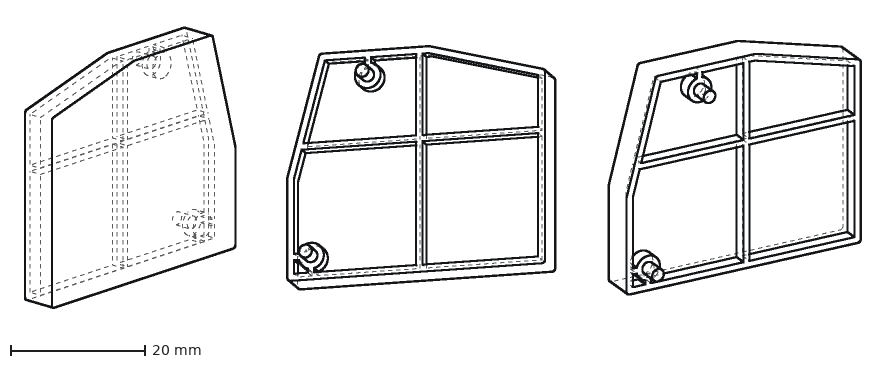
import cadquery as cq
import math

width = 40.0
height = 34.6
total_depth = 8.5
pin_projection = 3.0
body_depth = total_depth - pin_projection

slant = math.tan(math.radians(15))
steep_edge_start_z = 15.9
shallow_edge_start_y = 17.95
steep_edge_top_y = width - (height - steep_edge_start_z) * slant
shallow_edge_end_z = height - shallow_edge_start_y * slant
corner_radius = 0.5

wall = 1.1
recess_depth = 2.15
rib_thickness = 0.95
upright_rib_y = 19.5
level_rib_z = 20.5

boss_diameter = 4.0
pin_diameter = 2.0
upper_pin = (27.5, 30.8)
lower_pin = (36.3, 3.65)
pins = [upper_pin, lower_pin]


def outline():
    """Sharp-cornered outline of the body; local x is Y and local y is Z."""
    return cq.Workplane("YZ").polyline([
        (0, 0),
        (width, 0),
        (width, steep_edge_start_z),
        (steep_edge_top_y, height),
        (shallow_edge_start_y, height),
        (0, shallow_edge_end_z),
    ]).close()


def recess_bar(y_min, y_max, z_min, z_max):
    """Bar as deep as the recess, flush with the rim."""
    return cq.Workplane("XY").box(
        recess_depth, y_max - y_min, z_max - z_min, centered=False
    ).translate((0, y_min, z_min))


def upright_bar(y, z_min, z_max):
    return recess_bar(y - rib_thickness / 2, y + rib_thickness / 2, z_min, z_max)


def level_bar(z, y_min, y_max):
    return recess_bar(y_min, y_max, z - rib_thickness / 2, z + rib_thickness / 2)


body = outline().extrude(body_depth)
rounded_corners = [
    (0, 0),
    (width, 0),
    (steep_edge_top_y, height),
    (0, shallow_edge_end_z),
]
for y, z in rounded_corners:
    corner_edge = cq.selectors.NearestToPointSelector((body_depth / 2, y, z))
    body = body.edges("|X").edges(corner_edge).fillet(corner_radius)

recess = outline().offset2D(-wall, "intersection").extrude(recess_depth)

ribs = upright_bar(upright_rib_y, 0, height).union(level_bar(level_rib_z, 0, width))
webs = (
    upright_bar(upper_pin[0], upper_pin[1], height)
    .union(upright_bar(lower_pin[0], 0, lower_pin[1]))
    .union(level_bar(lower_pin[1], lower_pin[0], width))
)
bosses = cq.Workplane("YZ").pushPoints(pins).circle(boss_diameter / 2).extrude(recess_depth)
body = body.cut(recess.cut(ribs).cut(webs).cut(bosses))

locating_pins = cq.Workplane("YZ").pushPoints(pins).circle(pin_diameter / 2).extrude(-pin_projection)

result = body.union(locating_pins)